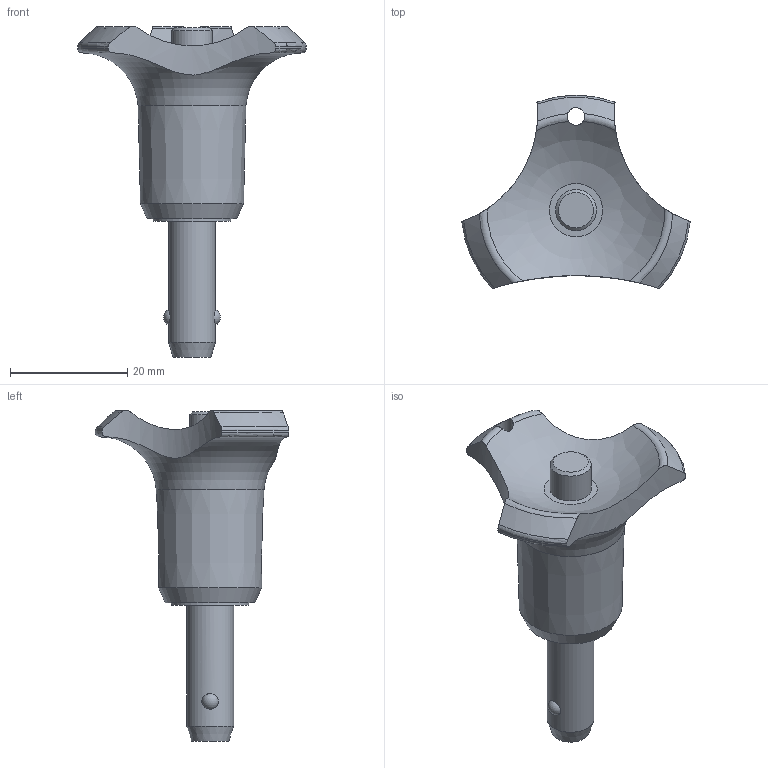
import cadquery as cq
import math


shank_radius = 4.0
tip_radius = 3.2
shank_length = 23.25
tip_length = 2.6
ball_radius = 1.45
ball_reach = 4.85
ball_height = -16.4

collar_radius = 6.6
collar_height = 0.4
barrel_base_radius = 7.65
barrel_low_radius = 8.8
barrel_low_height = 3.0
barrel_top_radius = 9.2
barrel_top_height = 19.75

flare_radius = 9.7
underside_height = 28.75
grip_radius = 19.6
grip_top = 33.25
edge_round = 1.0
rim_band_top = 29.78
crest_circle_radius = 15.87
dish_radius = 22.0

side_scallop_radius = 19.5
side_scallop_x = 26.06
side_scallop_y = 16.4
front_scallop_radius = 47.1
front_scallop_y = -58.28

floor_radius = 4.55
button_radius = 3.5
button_top = 33.05
button_chamfer = 0.5

lanyard_hole_radius = 1.5
lanyard_hole_y = 16.0


def point_on_circle(center, radius, angle):
    return (center[0] + radius * math.cos(angle), center[1] + radius * math.sin(angle))


def make_handle():
    """Revolve the handle's half section, drawn as (radius, height)."""
    crest_center = (crest_circle_radius, grip_top - edge_round)

    dish_center_height = crest_center[1] + math.sqrt(
        (dish_radius + edge_round) ** 2 - crest_circle_radius**2
    )
    dish_center = (0, dish_center_height)
    floor_height = dish_center_height - math.sqrt(dish_radius**2 - floor_radius**2)
    crest_angle = math.atan2(crest_center[1] - dish_center_height, crest_circle_radius)
    floor_angle = math.atan2(floor_height - dish_center_height, floor_radius)
    dish_outer = point_on_circle(dish_center, dish_radius, crest_angle)
    dish_middle = point_on_circle(dish_center, dish_radius, (crest_angle + floor_angle) / 2)

    rim_center = (grip_radius - edge_round, rim_band_top)
    edge_normal = math.atan2(rim_center[0] - crest_center[0], crest_center[1] - rim_center[1])
    rim_middle = point_on_circle(rim_center, edge_round, edge_normal / 2)
    edge_bottom = point_on_circle(rim_center, edge_round, edge_normal)
    edge_top = point_on_circle(crest_center, edge_round, edge_normal)

    flare_center_height = underside_height - flare_radius
    flare_start_rise = barrel_top_height - flare_center_height
    flare_center = (
        barrel_top_radius + math.sqrt(flare_radius**2 - flare_start_rise**2),
        flare_center_height,
    )
    flare_middle = point_on_circle(flare_center, flare_radius, math.radians(135))
    lower_round = grip_radius - flare_center[0]
    lower_center = (flare_center[0], underside_height + lower_round)
    lower_middle = point_on_circle(lower_center, lower_round, math.radians(-45))

    section = (
        cq.Workplane("XZ")
        .moveTo(0, 0)
        .lineTo(collar_radius, 0)
        .lineTo(collar_radius, collar_height)
        .lineTo(barrel_base_radius, collar_height)
        .lineTo(barrel_low_radius, barrel_low_height)
        .lineTo(barrel_top_radius, barrel_top_height)
        .threePointArc(flare_middle, (flare_center[0], underside_height))
        .threePointArc(lower_middle, (grip_radius, lower_center[1]))
        .lineTo(grip_radius, rim_band_top)
        .threePointArc(rim_middle, edge_bottom)
        .lineTo(*edge_top)
        .threePointArc((crest_center[0], grip_top), dish_outer)
        .threePointArc(dish_middle, (floor_radius, floor_height))
        .lineTo(0, floor_height)
        .close()
    )
    return section.revolve(360, (0, 0, 0), (0, 1, 0))


def make_vertical_cutter(x, y, radius):
    return cq.Workplane("XY").center(x, y).circle(radius).extrude(grip_top)


def make_shank():
    section = (
        cq.Workplane("XZ")
        .moveTo(0, collar_height)
        .lineTo(shank_radius, collar_height)
        .lineTo(shank_radius, tip_length - shank_length)
        .lineTo(tip_radius, -shank_length)
        .lineTo(0, -shank_length)
        .close()
    )
    return section.revolve(360, (0, 0, 0), (0, 1, 0))


def make_ball(side):
    ball_x = side * (ball_reach - ball_radius)
    return cq.Workplane("XY").sphere(ball_radius).translate((ball_x, 0, ball_height))


def make_button():
    button = cq.Workplane("XY").circle(button_radius).extrude(button_top)
    return button.faces(">Z").chamfer(button_chamfer)


handle = make_handle()
handle = handle.cut(make_vertical_cutter(0, front_scallop_y, front_scallop_radius))
for side in (-1, 1):
    handle = handle.cut(make_vertical_cutter(side * side_scallop_x, side_scallop_y, side_scallop_radius))
handle = handle.cut(make_vertical_cutter(0, lanyard_hole_y, lanyard_hole_radius))

result = handle.union(make_button()).union(make_shank())
for side in (-1, 1):
    result = result.union(make_ball(side))